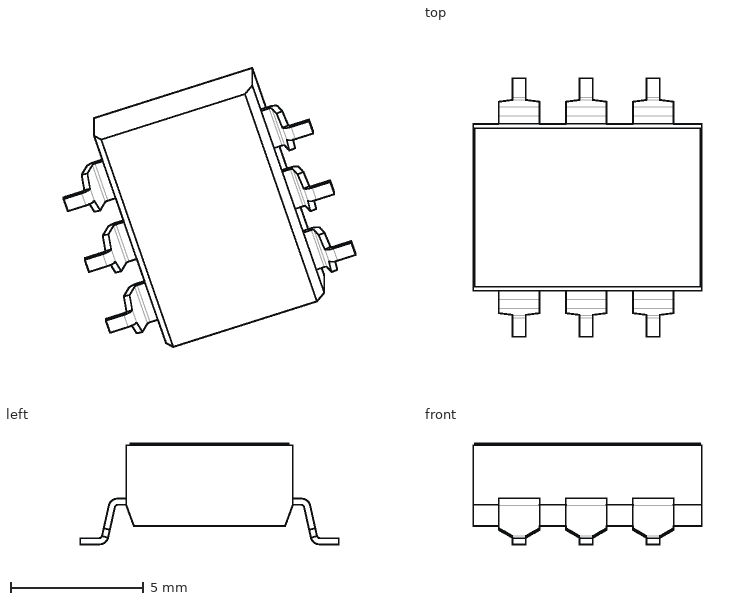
import cadquery as cq
import math

body_length = 8.66
body_width = 6.32
body_bottom_z = 0.7
body_top_z = 3.76
body_break_z = 1.5
body_bottom_inset = 0.29

overall_height = 3.83
panel_inset_x = 0.06
panel_inset_y = 0.16

overall_span = 9.8
lead_pitch = 2.54
leads_per_side = 3
lead_row_offset = -0.05
lead_thickness = 0.245
lead_wide = 1.55
lead_narrow = 0.51
shoulder_flat = 0.31
leg_angle = math.radians(16)
bend_inner_radius = 0.11
taper_length = 0.3
root_depth = 0.49

bend_outer_radius = bend_inner_radius + lead_thickness
shoulder_top_z = body_break_z + lead_thickness
body_side_y = body_width / 2
root_y = body_side_y - root_depth
tip_y = overall_span / 2

upper_y = body_side_y + shoulder_flat
upper_z = body_break_z - bend_inner_radius
lower_z = bend_outer_radius
bend_radii = bend_inner_radius + bend_outer_radius
leg_length = (upper_z - lower_z - bend_radii * math.sin(leg_angle)) / math.cos(leg_angle)
lower_y = upper_y + bend_radii * math.cos(leg_angle) + leg_length * math.sin(leg_angle)


def around(center, radius, angle):
    """Point (y, z) at an angle from +Y on a circle about a bend centre."""
    return center[0] + radius * math.cos(angle), center[1] + radius * math.sin(angle)


def make_body():
    bottom_y = body_side_y - body_bottom_inset
    section = [
        (-bottom_y, body_bottom_z),
        (bottom_y, body_bottom_z),
        (body_side_y, body_break_z),
        (body_side_y, body_top_z),
        (-body_side_y, body_top_z),
        (-body_side_y, body_break_z),
    ]
    body = cq.Workplane("YZ").polyline(section).close().extrude(body_length / 2, both=True)
    panel = (
        cq.Workplane("XY", origin=(0, 0, body_top_z))
        .rect(body_length - 2 * panel_inset_x, body_width - 2 * panel_inset_y)
        .extrude(overall_height - body_top_z)
    )
    return body.union(panel)


def make_lead_strip():
    """Full-width bent strip for the +Y side, centred on X = 0."""
    upper = (upper_y, upper_z)
    lower = (lower_y, lower_z)
    upper_mid = (leg_angle + math.pi / 2) / 2
    lower_end = math.pi + leg_angle
    lower_mid = (lower_end + 3 * math.pi / 2) / 2
    return (
        cq.Workplane("YZ")
        .moveTo(root_y, shoulder_top_z)
        .lineTo(upper_y, shoulder_top_z)
        .threePointArc(
            around(upper, bend_outer_radius, upper_mid),
            around(upper, bend_outer_radius, leg_angle),
        )
        .lineTo(*around(lower, bend_inner_radius, lower_end))
        .threePointArc(around(lower, bend_inner_radius, lower_mid), (lower_y, lead_thickness))
        .lineTo(tip_y, lead_thickness)
        .lineTo(tip_y, 0)
        .lineTo(lower_y, 0)
        .threePointArc(
            around(lower, bend_outer_radius, lower_mid),
            around(lower, bend_outer_radius, lower_end),
        )
        .lineTo(*around(upper, bend_inner_radius, leg_angle))
        .threePointArc(around(upper, bend_inner_radius, upper_mid), (upper_y, body_break_z))
        .lineTo(root_y, body_break_z)
        .close()
        .extrude(lead_wide / 2, both=True)
    )


def make_lead_outline():
    """Lead silhouette square to the leg, extruded through it: wide, tapered, then narrow."""
    bend_start = around((lower_y, lower_z), bend_inner_radius, math.pi + leg_angle)
    leg_plane = cq.Plane(
        origin=(0, *bend_start),
        xDir=(1, 0, 0),
        normal=(0, -math.cos(leg_angle), -math.sin(leg_angle)),
    )
    reach = overall_span
    outline = [
        (lead_wide / 2, reach),
        (lead_wide / 2, taper_length),
        (lead_narrow / 2, 0),
        (lead_narrow / 2, -reach),
    ]
    mirrored = [(-x, y) for x, y in reversed(outline)]
    return cq.Workplane(leg_plane).polyline(outline + mirrored).close().extrude(reach, both=True)


def make_lead():
    return make_lead_strip().intersect(make_lead_outline())


result = make_body()
back_lead = make_lead()
front_lead = back_lead.mirror("XZ")
for index in range(leads_per_side):
    lead_x = lead_row_offset + (index - (leads_per_side - 1) / 2) * lead_pitch
    for lead in (back_lead, front_lead):
        result = result.union(lead.translate((lead_x, 0, 0)))